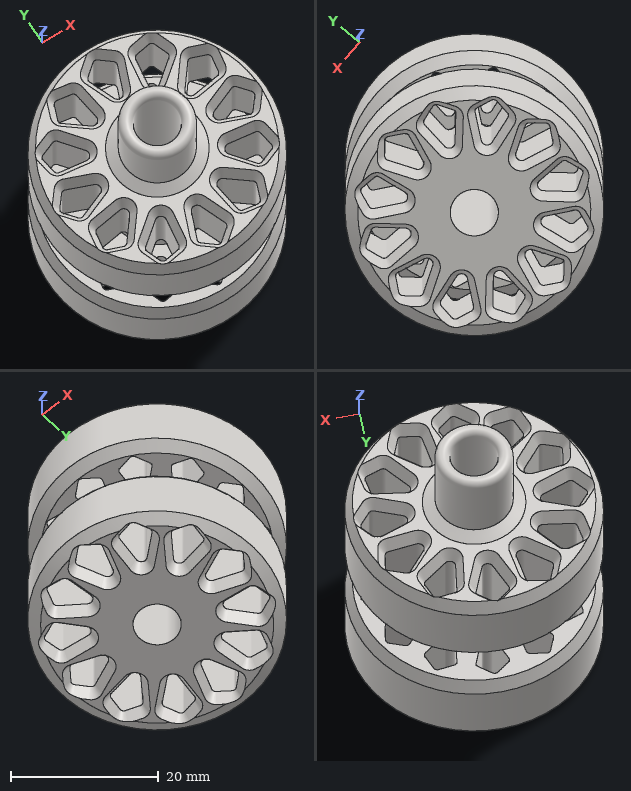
import cadquery as cq
import math

disk_radius = 17.5
disk_height = 11.5
hub_radius = 7.5
hub_height = 7.0
stem_radius = 5.3
stem_height = 11.4
bore_radius = 3.25
collar_radius = 7.0

cone_slope = math.tan(math.radians(30))
lower_edge_width = 1.75
lower_edge_height = lower_edge_width * cone_slope
upper_edge_height = 1.8
upper_edge_width = upper_edge_height * cone_slope
collar_height = (collar_radius - stem_radius) * cone_slope

window_count = 12
window_inner_tip = 7.8
window_outer_tip = 15.75
window_shoulder_radius = 13.8
window_half_width = 2.4
window_inner_rounding = 0.8
window_outer_rounding = 0.6
bevel_width = 1.0
bevel_depth = bevel_width / cone_slope

upper_disk_base = disk_height + hub_height
upper_disk_top = upper_disk_base + disk_height
total_height = upper_disk_top + stem_height


def make_disk(base):
    """Disk with a shallow cone on its lower edge and a steep cone on its upper edge."""
    top = base + disk_height
    return (
        cq.Workplane("XZ")
        .moveTo(0, base)
        .lineTo(disk_radius - lower_edge_width, base)
        .lineTo(disk_radius, base + lower_edge_height)
        .lineTo(disk_radius, top - upper_edge_height)
        .lineTo(disk_radius - upper_edge_width, top)
        .lineTo(0, top)
        .close()
        .revolve(360, (0, 0, 0), (0, 1, 0))
    )


def make_hub():
    """Plain cylinder joining the two disks."""
    return cq.Workplane("XY").workplane(offset=disk_height).circle(hub_radius).extrude(hub_height)


def make_stem():
    """Stem with a conical collar at its foot and a fully rounded tubular rim."""
    rim_rounding = (stem_radius - bore_radius) / 2
    rim_centre = bore_radius + rim_rounding
    rim_base = total_height - rim_rounding
    return (
        cq.Workplane("XZ")
        .moveTo(bore_radius, upper_disk_top)
        .lineTo(collar_radius, upper_disk_top)
        .lineTo(stem_radius, upper_disk_top + collar_height)
        .lineTo(stem_radius, rim_base)
        .radiusArc((rim_centre, total_height), -rim_rounding)
        .radiusArc((bore_radius, rim_base), -rim_rounding)
        .close()
        .revolve(360, (0, 0, 0), (0, 1, 0))
    )


def make_bore():
    """Straight hole along the whole axis."""
    return cq.Workplane("XY").circle(bore_radius).extrude(total_height)


def make_window_prism():
    """Four-cornered kite prism on the +X side, with rounded corners, through both disks."""
    prism = (
        cq.Workplane("XY")
        .moveTo(window_inner_tip, 0)
        .lineTo(window_shoulder_radius, window_half_width)
        .lineTo(window_outer_tip, 0)
        .lineTo(window_shoulder_radius, -window_half_width)
        .close()
        .extrude(upper_disk_top)
    )
    prism = prism.edges("|Z and <X").fillet(window_inner_rounding)
    for corner in (">X", ">Y", "<Y"):
        prism = prism.edges("|Z").edges(corner).fillet(window_outer_rounding)
    return prism


def make_window_cutter():
    """Window prism flared outward at its top and bottom openings."""
    prism = make_window_prism()
    flare_angle = math.degrees(math.atan2(bevel_width, bevel_depth))
    cutter = prism
    for opening, inward in ((">Z", -bevel_depth), ("<Z", bevel_depth)):
        rim = prism.faces(opening).wires().val().offset2D(bevel_width)
        flare = cq.Workplane("XY").add(rim).toPending().extrude(inward, taper=flare_angle)
        cutter = cutter.union(flare)
    return cutter


body = make_disk(0).union(make_hub()).union(make_disk(upper_disk_base)).union(make_stem())
body = body.cut(make_bore())

window_cutter = make_window_cutter()
for index in range(window_count):
    angle = index * 360 / window_count
    body = body.cut(window_cutter.rotate((0, 0, 0), (0, 0, 1), angle))

result = body